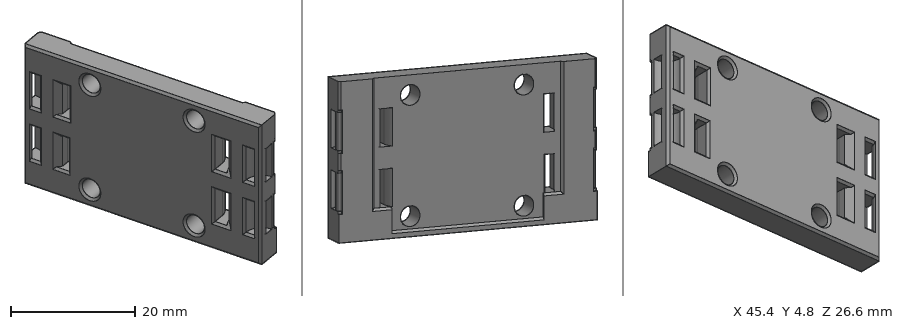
import cadquery as cq
import math

length = 45.4
thickness = 4.8
height = 26.6
chamfer = 0.4
half_length = length / 2
half_height = height / 2
overcut = 2.25

hole_diameter = 3.4
hole_offset = 10.0

row_offset = 5.0
slot_height = 6.3
strap_gap = 1.8
outer_bend_radius = 3.0
inner_bend_radius = outer_bend_radius - strap_gap

inner_walls = {
    (-1, 1): 14.05,
    (-1, -1): 14.15,
    (1, 1): 13.75,
    (1, -1): 13.75,
}
outer_wall = 15.95
outer_wall_bevel = 1.15
inner_bend_start = 2.55

recess_floor = thickness - chamfer
recess_bottom = -row_offset - slot_height / 2
pad_inner_edge = 16.8
bay_half_width = 13.35
bay_bottom = -(hole_offset + hole_diameter / 2 + chamfer)

notch_floor = recess_floor - chamfer
notch_radius = chamfer
notch_depth = 0.7


def xy_sketch():
    """Workplane whose local axes are the part's X and Y."""
    return cq.Workplane("XY")


def box_between(x0, x1, y0, y1, z0, z1):
    box = cq.Workplane("XY").box(x1 - x0, y1 - y0, z1 - z0, centered=False)
    return box.translate((x0, y0, z0))


def mirror_to_side(body, side):
    """Cutters are drawn for the +X half; side -1 moves them to the -X half."""
    return body if side > 0 else body.mirror("YZ")


def make_plate():
    plate = box_between(-half_length, half_length, 0, thickness, -half_height, half_height)
    return plate.faces("<Y").chamfer(chamfer)


def make_recess_band(half_width, bottom):
    """Part of the recess with one bottom wall, sloping 45 degrees up from the floor."""
    top = half_height + overcut
    profile = [
        (recess_floor, bottom),
        (thickness, bottom - chamfer),
        (thickness, top),
        (recess_floor, top),
    ]
    return cq.Workplane("YZ").polyline(profile).close().extrude(half_width, both=True)


def make_back_recess():
    """Recess with 45 degree walls; the pads are left standing in it."""
    recess = make_recess_band(half_length + overcut, recess_bottom)
    recess = recess.union(make_recess_band(bay_half_width, bay_bottom))
    pad_profile = [
        (pad_inner_edge - chamfer, recess_floor),
        (half_length, recess_floor),
        (half_length - chamfer, thickness),
        (pad_inner_edge, thickness),
    ]
    pad_bottom = recess_bottom - chamfer
    pad = xy_sketch().polyline(pad_profile).close().extrude(half_height - pad_bottom)
    pad = pad.translate((0, 0, pad_bottom))
    for side in (-1, 1):
        recess = recess.cut(mirror_to_side(pad, side))
    return recess


def make_screw_hole(x, z):
    radius = hole_diameter / 2
    profile = [
        (0, 0),
        (radius + chamfer, 0),
        (radius, chamfer),
        (radius, thickness),
        (0, thickness),
    ]
    hole = xy_sketch().polyline(profile).close().revolve(360, (0, 0), (0, 1))
    return hole.translate((x, 0, z))


def make_slot_body(profile):
    """Extrude a closed XY profile over the slot height, centred on z = 0."""
    return profile.extrude(slot_height / 2, both=True)


def make_mouth(x0, x1, rim_x0, rim_x1):
    """Bevelled mouth in the front face, from the rim down to the slot section."""
    rim_height = slot_height + 2 * chamfer
    return (
        cq.Workplane("XZ")
        .center((rim_x0 + rim_x1) / 2, 0)
        .rect(rim_x1 - rim_x0, rim_height)
        .workplane(offset=-chamfer)
        .center((x0 + x1 - rim_x0 - rim_x1) / 2, 0)
        .rect(x1 - x0, slot_height)
        .loft(ruled=True)
    )


def make_outer_slot():
    """Quarter ring bending from the front face to the end face."""
    profile = (
        xy_sketch()
        .moveTo(half_length, chamfer)
        .circle(outer_bend_radius)
        .circle(inner_bend_radius)
    )
    ring = make_slot_body(profile)
    quarter = box_between(
        half_length - outer_bend_radius, half_length,
        chamfer, chamfer + outer_bend_radius,
        -slot_height / 2, slot_height / 2,
    )
    near = half_length - outer_bend_radius
    far = half_length - inner_bend_radius
    return ring.intersect(quarter).union(make_mouth(near, far, near - chamfer, far))


def make_corner_web(end):
    """Sloping web left in one corner of an inner slot's mouth; end is +1 or -1 along Z."""
    slot_end = slot_height / 2
    run = outer_wall_bevel - chamfer
    profile = [
        (chamfer, end * slot_end),
        (outer_wall_bevel, end * slot_end),
        (outer_wall_bevel, end * (slot_end - run)),
    ]
    web = cq.Workplane("YZ").polyline(profile).close().extrude(run)
    return web.translate((outer_wall, 0, 0))


def make_inner_slot(inner_wall, web_end):
    """Slot through the plate whose two side walls bend towards the centre."""
    rise = recess_floor - inner_bend_start
    shift = outer_bend_radius - math.sqrt(outer_bend_radius**2 - rise**2)
    half_angle = math.asin(rise / outer_bend_radius) / 2
    middle_rise = outer_bend_radius * math.sin(half_angle)
    middle_shift = outer_bend_radius * (1 - math.cos(half_angle))
    middle_y = inner_bend_start + middle_rise
    profile = (
        xy_sketch()
        .moveTo(inner_wall, 0)
        .lineTo(inner_wall, inner_bend_start)
        .threePointArc((inner_wall - middle_shift, middle_y), (inner_wall - shift, recess_floor))
        .lineTo(outer_wall - shift, recess_floor)
        .threePointArc((outer_wall - middle_shift, middle_y), (outer_wall, inner_bend_start))
        .lineTo(outer_wall, outer_wall_bevel)
        .lineTo(outer_wall + outer_wall_bevel, 0)
        .close()
    )
    rim_far = outer_wall + outer_wall_bevel
    mouth = make_mouth(inner_wall, rim_far - chamfer, inner_wall - chamfer, rim_far)
    return make_slot_body(profile).union(mouth).cut(make_corner_web(web_end))


def make_pad_notch():
    """Notch with a rounded inner corner in the outer edge of a pad, with a taller step above it."""
    notch_wall = half_length - notch_depth
    arc_middle = notch_radius * (1 - math.sqrt(0.5))
    profile = (
        xy_sketch()
        .moveTo(half_length, notch_floor)
        .lineTo(notch_wall + notch_radius, notch_floor)
        .threePointArc(
            (notch_wall + arc_middle, notch_floor + arc_middle),
            (notch_wall, recess_floor),
        )
        .lineTo(notch_wall, thickness)
        .lineTo(half_length, thickness)
        .close()
    )
    step_half_height = slot_height / 2 + chamfer
    step = box_between(
        notch_wall, half_length, recess_floor, thickness, -step_half_height, step_half_height
    )
    return make_slot_body(profile).union(step)


result = make_plate().cut(make_back_recess())

for x in (-hole_offset, hole_offset):
    for z in (-hole_offset, hole_offset):
        result = result.cut(make_screw_hole(x, z))

for (side, row), inner_wall in inner_walls.items():
    for cutter in (make_outer_slot(), make_inner_slot(inner_wall, -side), make_pad_notch()):
        placed = mirror_to_side(cutter, side).translate((0, 0, row * row_offset))
        result = result.cut(placed)